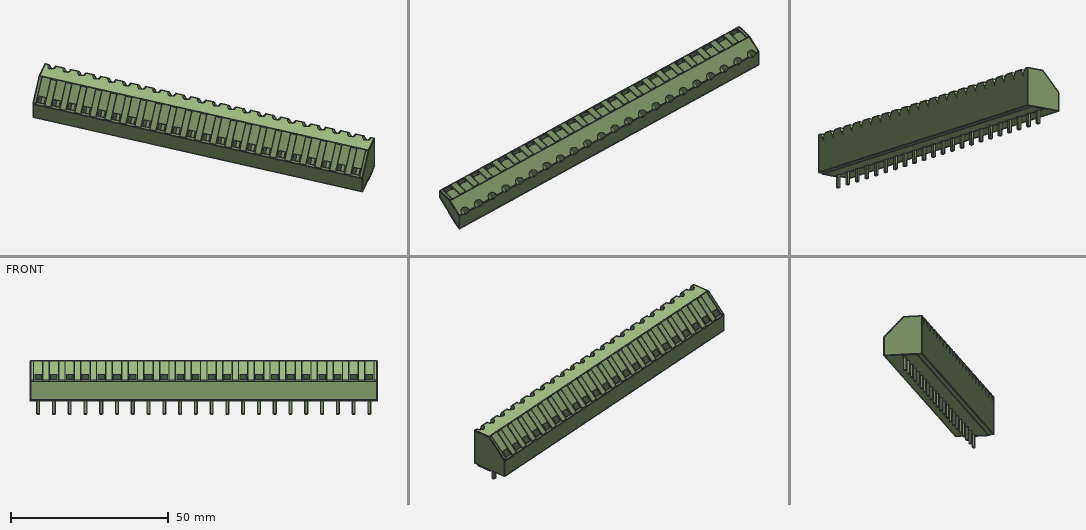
import cadquery as cq
import math

length = 110.0
depth = 12.5
total_height = 17.0
pole_count = 22
pitch = length / pole_count

body_height = 12.5
edge_chamfer = 0.2
pin_length = total_height - body_height
flat_top_depth = 6.2
front_height = 6.2
slope_run = depth - flat_top_depth
slope_rise = body_height - front_height
slope_length = math.hypot(slope_run, slope_rise)
slope_angle = math.degrees(math.atan2(slope_rise, slope_run))

standoff_height = 0.2
standoff_depth = 5.0
standoff_back_gap = 1.6

channel_width = 3.1
channel_floor_width = 2.9
channel_sink = 0.1
opening_width = 2.1
opening_height = 2.1
opening_center = 7.3
opening_sink = 4.4

notch_diameter = 2.6
notch_tip_diameter = 0.4
notch_depth = 2.4
notch_inset = 0.5

pin_width = 1.0
pin_thickness = 0.8
pin_tip_chamfer = 0.2
pin_back_gap = 6.0
pin_embed = 1.1

pole_centers = [(index + 0.5) * pitch for index in range(pole_count)]


def make_body():
    profile = [
        (0, 0),
        (depth, 0),
        (depth, body_height),
        (slope_run, body_height),
        (0, front_height),
    ]
    body = cq.Workplane("YZ").polyline(profile).close().extrude(length)
    body = body.edges().chamfer(edge_chamfer)
    standoff = cq.Workplane("XY").box(
        length, standoff_depth, standoff_height, centered=False
    ).translate((0, depth - standoff_back_gap - standoff_depth, -standoff_height))
    return body.union(standoff)


def on_slope(shape):
    """Move a shape so its X-Y plane lies on the slope, with Y = 0 at the upper edge."""
    return shape.rotate((0, 0, 0), (1, 0, 0), slope_angle).translate((0, slope_run, body_height))


def slope_cutter(center_x):
    half_top = channel_width / 2
    half_floor = channel_floor_width / 2
    section = [
        (-half_floor, -channel_sink),
        (half_floor, -channel_sink),
        (half_top, 0),
        (-half_top, 0),
    ]
    channel = (
        cq.Workplane("XZ").polyline(section).close().extrude(slope_length)
        .translate((center_x, 0, 0))
    )
    opening = cq.Workplane("XY").box(
        opening_width, opening_height, 2 * opening_sink
    ).translate((center_x, -opening_center, 0))
    return on_slope(channel.union(opening))


def notch_cutter(center_x):
    notch = (
        cq.Workplane("XY").circle(notch_diameter / 2)
        .workplane(offset=-notch_depth).circle(notch_tip_diameter / 2).loft()
    )
    return notch.translate((center_x, depth - notch_inset, body_height))


def make_pin(center_x):
    pin = cq.Workplane("XY").box(
        pin_width, pin_thickness, pin_length + pin_embed, centered=(True, True, False)
    )
    pin = pin.faces("<Z").chamfer(pin_tip_chamfer)
    return pin.translate((center_x, depth - pin_back_gap, -pin_length))


result = make_body()
for center_x in pole_centers:
    result = result.cut(slope_cutter(center_x)).cut(notch_cutter(center_x))
for center_x in pole_centers:
    result = result.union(make_pin(center_x))